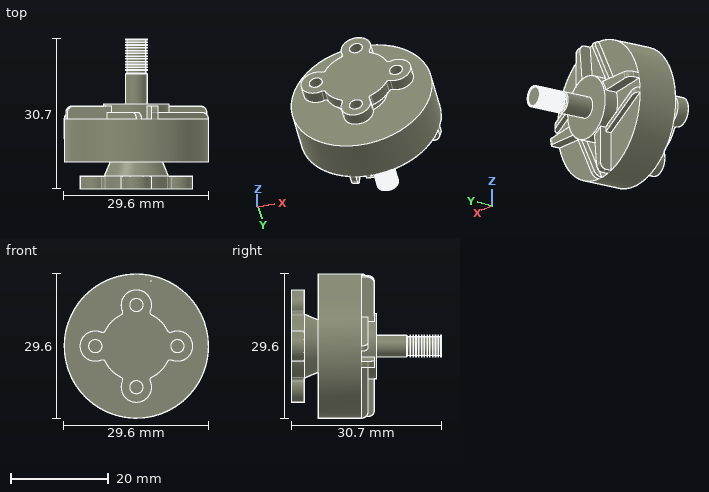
import cadquery as cq
import math

flange_top = 2.65
bell_bottom = 5.5
bell_top = 14.35
low_blade_top = 15.68
high_blade_top = 17.0
hub_top = 17.45
shoulder_level = 23.6
shaft_end = 30.7

bell_diameter = 29.55
bell_radius = bell_diameter / 2
hub_radius = 6.7
neck_base_radius = 6.6
neck_top_radius = 5.4

shaft_radius = 2.25
thread_core_radius = 1.95
shoulder_chamfer = 0.18
thread_rings = 12
thread_length = 6.25
thread_pitch = thread_length / (thread_rings - 1)
ring_thickness = 0.12

flange_radius = 7.12
lug_count = 4
lug_radius = 3.1
lug_distance = 8.4
lug_hole_radius = 1.35
lug_blend_radius = 0.6
corner_tolerance = 0.003

blade_sets = 4
high_blade_face = 4.4
high_blade_tip_width = 1.23
high_blade_taper = 6.5
low_blade_lean = 30.0
low_blade_tip_width = 1.07
blade_tip_round = low_blade_top - bell_top


def cylinder(radius, start, end):
    """Cylinder about the Y axis between two levels."""
    return cq.Workplane("XZ", origin=(0, start, 0)).circle(radius).extrude(start - end)


def make_flange():
    """Round plate with drilled lugs blended into it."""
    lug_layout = cq.Workplane("XZ").polarArray(lug_distance, 0, 360, lug_count)
    lugs = lug_layout.circle(lug_radius).extrude(-flange_top)
    holes = lug_layout.circle(lug_hole_radius).extrude(-flange_top)
    flange = cylinder(flange_radius, 0, flange_top).union(lugs)
    corners = flange.edges("|Y").filter(
        lambda edge: abs(math.hypot(edge.Center().x, edge.Center().z) - flange_radius) < corner_tolerance
    )
    return corners.fillet(lug_blend_radius).cut(holes)


def make_turned_body():
    """Neck, bell, hub and shaft core as one turned profile."""
    return (
        cq.Workplane("XY")
        .moveTo(0, flange_top)
        .lineTo(neck_base_radius, flange_top)
        .lineTo(neck_top_radius, bell_bottom)
        .lineTo(bell_radius, bell_bottom)
        .lineTo(bell_radius, bell_top)
        .lineTo(hub_radius, bell_top)
        .lineTo(hub_radius, hub_top)
        .lineTo(shaft_radius, hub_top)
        .lineTo(shaft_radius, shoulder_level)
        .lineTo(thread_core_radius, shoulder_level + shoulder_chamfer)
        .lineTo(thread_core_radius, shaft_end)
        .lineTo(0, shaft_end)
        .close()
        .revolve(360, (0, 0, 0), (0, 1, 0))
    )


def make_thread():
    """Evenly spaced rings standing for the thread, the first flush with the shaft end."""
    rings = cq.Workplane("XZ")
    for index in range(thread_rings):
        ring_end = shaft_end - index * thread_pitch
        rings = rings.add(cylinder(shaft_radius, ring_end - ring_thickness, ring_end))
    return rings.combine()


def blade_on_bell(outline, top):
    """Raise a blade from a plan outline of (X, Z) points, its tip on the bell wall and rounded over."""
    prism = cq.Workplane("XZ", origin=(0, bell_top, 0)).polyline(outline).close().extrude(bell_top - top)
    envelope = cylinder(bell_radius, bell_bottom, top).faces(">Y").edges().fillet(blade_tip_round)
    return prism.intersect(envelope)


def make_blades():
    """Pairs of one high and one low blade, repeated around the axis."""
    high_tip_x = high_blade_face - high_blade_tip_width
    high_taper_slope = math.tan(math.radians(high_blade_taper))
    high_root_x = high_tip_x - bell_radius * high_taper_slope
    high_outline = [
        (high_root_x, 0),
        (high_blade_face, 0),
        (high_blade_face, bell_radius),
        (high_tip_x, bell_radius),
    ]

    low_root_z = high_blade_face
    low_root_x = -(bell_radius - low_root_z) * math.tan(math.radians(low_blade_lean))
    low_outline = [
        (low_root_x, low_root_z),
        (low_root_x + low_blade_tip_width, low_root_z),
        (low_blade_tip_width, bell_radius),
        (0, bell_radius),
    ]

    high = blade_on_bell(high_outline, high_blade_top)
    low = blade_on_bell(low_outline, low_blade_top)
    pair = high.union(low)
    blades = pair
    for index in range(1, blade_sets):
        blades = blades.union(pair.rotate((0, 0, 0), (0, 1, 0), index * 360 / blade_sets))
    return blades


body = make_turned_body().union(make_flange()).union(make_thread())
result = body.union(make_blades())